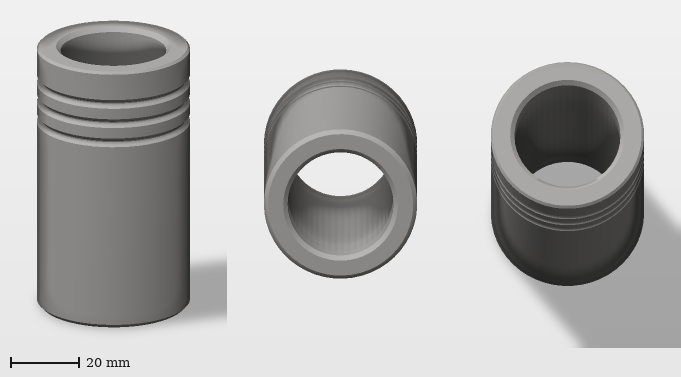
import cadquery as cq

length = 80.0
outer_diameter = 45.0
bore_diameter = 31.0

top_chamfer = 0.7
bottom_chamfer = 1.2
bore_chamfer = 1.3

groove_count = 3
groove_pitch = 6.0
first_groove_distance = 10.0
groove_width = 2.7
groove_floor_width = 0.3

outer_radius = outer_diameter / 2
bore_radius = bore_diameter / 2
groove_depth = (groove_width - groove_floor_width) / 2


def tube():
    """Tube along Z with chamfered rims; the bore has a lead-in at both ends."""
    mouth_radius = bore_radius + bore_chamfer
    section = (
        cq.Workplane("XZ")
        .moveTo(mouth_radius, 0)
        .lineTo(outer_radius - bottom_chamfer, 0)
        .lineTo(outer_radius, bottom_chamfer)
        .lineTo(outer_radius, length - top_chamfer)
        .lineTo(outer_radius - top_chamfer, length)
        .lineTo(mouth_radius, length)
        .lineTo(bore_radius, length - bore_chamfer)
        .lineTo(bore_radius, bore_chamfer)
        .close()
    )
    return section.revolve(360, (0, 0, 0), (0, 1, 0))


def ring_groove(center_z):
    """Ring-shaped cutter whose flanks continue past the outer surface."""
    floor_radius = outer_radius - groove_depth
    rim_radius = outer_radius + groove_depth
    half_floor = groove_floor_width / 2
    half_rim = half_floor + rim_radius - floor_radius
    section = (
        cq.Workplane("XZ")
        .moveTo(floor_radius, center_z - half_floor)
        .lineTo(rim_radius, center_z - half_rim)
        .lineTo(rim_radius, center_z + half_rim)
        .lineTo(floor_radius, center_z + half_floor)
        .close()
    )
    return section.revolve(360, (0, 0, 0), (0, 1, 0))


result = tube()
for index in range(groove_count):
    groove_z = length - first_groove_distance - index * groove_pitch
    result = result.cut(ring_groove(groove_z))